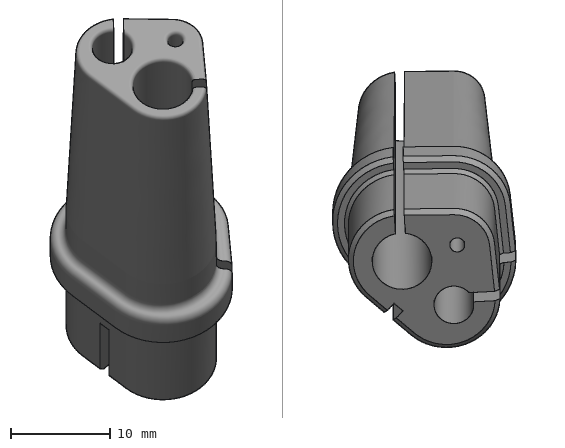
import cadquery as cq
import math

total_height = 45.5
flange_bottom = 11.5
flange_thickness = 4.0
flange_top = flange_bottom + flange_thickness
taper_start = 19.5

corner_offset = 3.0
front_radius = 5.4
rear_center_y = 4.5
rear_radius = 4.1
flange_overhang = 1.6
taper_inset = 1.0

bottom_chamfer = 0.5
flange_chamfer = 0.5
under_neck_chamfer = 0.4
flange_round = flange_overhang / 2
neck_fillet = 0.79
top_round = 0.4
hole_round = 0.4

holes = [
    (-4.0, 0.0, 4.0),
    (3.0, 0.0, 6.0),
    (0.0, 5.0, 1.5),
]

slit_width = 1.0
slit_length = 12.0
slit_angle = 45.0

level_tolerance = 0.01

keyway_width = 1.2
keyway_height = 8.0
keyway_depth = 1.5


def section(z, offset=0.0):
    """Closed outline at height z: three arcs joined by their common tangents, grown by offset."""
    front = front_radius + offset
    rear = rear_radius + offset
    center_distance = math.hypot(corner_offset, rear_center_y)
    center_direction = math.atan2(rear_center_y, -corner_offset)
    normal_angle = center_direction - math.acos((front - rear) / center_distance)
    nx = math.cos(normal_angle)
    ny = math.sin(normal_angle)
    middle_angle = (normal_angle - math.pi / 2) / 2
    mx = math.cos(middle_angle)
    my = math.sin(middle_angle)
    return (
        cq.Workplane("XY", origin=(0, 0, z))
        .moveTo(-corner_offset, -front)
        .lineTo(corner_offset, -front)
        .threePointArc(
            (corner_offset + front * mx, front * my),
            (corner_offset + front * nx, front * ny),
        )
        .lineTo(rear * nx, rear_center_y + rear * ny)
        .threePointArc(
            (0, rear_center_y + rear),
            (-rear * nx, rear_center_y + rear * ny),
        )
        .lineTo(-corner_offset - front * nx, front * ny)
        .threePointArc(
            (-corner_offset - front * mx, front * my),
            (-corner_offset, -front),
        )
        .close()
    )


def make_plug():
    """Straight part running from the bottom to the start of the taper."""
    return section(0).extrude(taper_start).faces("<Z").chamfer(bottom_chamfer)


def make_flange():
    flange = section(flange_bottom, flange_overhang).extrude(flange_thickness)
    return flange.faces("<Z").chamfer(flange_chamfer).faces(">Z").edges().fillet(flange_round)


def make_taper():
    """Upper part, drawn in evenly towards a rounded top edge."""
    height = total_height - taper_start
    draft = math.degrees(math.atan2(taper_inset, height))
    taper = section(taper_start).extrude(height, taper=draft)
    return taper.faces(">Z").edges().fillet(top_round)


def root_edges(part, z):
    """Edges of the inner corner where the body meets the ring-shaped flange face at height z."""
    flat_faces = part.faces("|Z").vals()
    ring_face = [face for face in flat_faces if abs(face.Center().z - z) < level_tolerance][0]
    return part.newObject(ring_face.innerWires()[0].Edges())


def hole_cutter(x, y, diameter):
    """Through hole with a rounded rim at the top."""
    radius = diameter / 2
    rim = radius + hole_round
    profile = (
        cq.Workplane("XZ", origin=(x, y, 0))
        .lineTo(radius, 0)
        .lineTo(radius, total_height - hole_round)
        .radiusArc((rim, total_height), hole_round)
        .lineTo(0, total_height)
        .close()
    )
    return profile.revolve(360, (0, 0, 0), (0, 1, 0))


def slit_cutter(side):
    slit = cq.Workplane("XY").box(slit_length, slit_width, total_height, centered=(False, True, False))
    angle = slit_angle if side > 0 else 180 - slit_angle
    return slit.rotate((0, 0, 0), (0, 0, 1), angle).translate((side * corner_offset, 0, 0))


def keyway_cutter():
    key = cq.Workplane("XY").box(keyway_width, keyway_depth, keyway_height, centered=(True, False, False))
    return key.translate((0, -front_radius, 0))


body = make_plug().union(make_flange())
body = root_edges(body, flange_top).fillet(neck_fillet)
body = root_edges(body, flange_bottom).chamfer(under_neck_chamfer)
body = body.union(make_taper())
for x, y, diameter in holes:
    body = body.cut(hole_cutter(x, y, diameter))
for side in (-1, 1):
    body = body.cut(slit_cutter(side))
result = body.cut(keyway_cutter())